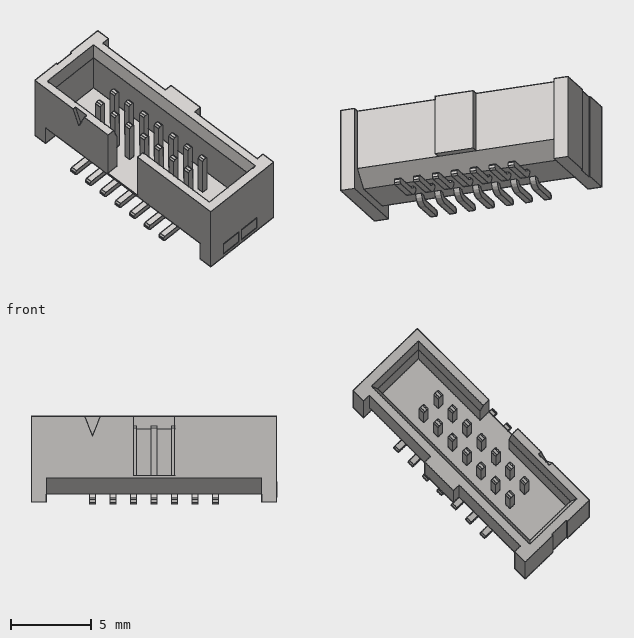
import cadquery as cq


columns = 7
pin_span = 7.62
pin_pitch = pin_span / (columns - 1)
pin_size = 0.4
pin_top = 4.71
pin_tip_chamfer = 0.1
tail_bottom = -0.12
tail_reach = 3.05
bend_inner_radius = 0.32

overall_length = 15.25
pad_thickness = 0.03
body_length = overall_length - pad_thickness
body_height = 5.34
block_half_depth = 2.55
leg_length = 0.93
rear_step = tail_reach - block_half_depth
underside_height = 0.5
bevel_size = 1.0
bevel_top = underside_height + bevel_size

floor_height = 1.65
floor_length = 13.45
floor_depth = 3.54
lead_in_width = 0.27
lead_in_bottom = 4.55

key_width = 2 * pin_pitch

mark_center = -pin_span / 2
mark_width = 0.98
mark_height = 1.22
mark_depth = 0.21

end_groove_width = 1.25
end_groove_depth = 0.09
pad_length = 1.37
pad_bottom = 0.32
pad_height = 0.95
pad_centers = (0.85, -0.75)


def box(x_range, y_range, z_range):
    """Box spanning the given (low, high) pairs."""
    spans = (x_range, y_range, z_range)
    size = [high - low for low, high in spans]
    corner = tuple(low for low, high in spans)
    return cq.Workplane("XY").box(*size, centered=False).translate(corner)


def make_block():
    """Main wall block between the ends, with both lower long edges bevelled at 45 degrees."""
    bottom_half_depth = block_half_depth - bevel_size
    return (
        cq.Workplane("YZ")
        .moveTo(-bottom_half_depth, underside_height)
        .lineTo(bottom_half_depth, underside_height)
        .lineTo(block_half_depth, bevel_top)
        .lineTo(block_half_depth, body_height)
        .lineTo(-block_half_depth, body_height)
        .lineTo(-block_half_depth, bevel_top)
        .close()
        .extrude(body_length / 2, both=True)
    )


def make_housing():
    """Block with full-height end legs and a rear boss behind the key slot."""
    housing = make_block()
    half_length = body_length / 2
    leg_y = (-block_half_depth, block_half_depth + rear_step)
    inner_x = half_length - leg_length
    for leg_x in ((-half_length, -inner_x), (inner_x, half_length)):
        housing = housing.union(box(leg_x, leg_y, (0, body_height)))
    boss = box(
        (-key_width / 2, key_width / 2),
        (0, block_half_depth + rear_step),
        (bevel_top, body_height),
    )
    return housing.union(boss)


def make_cavity():
    """Open-topped pocket whose rim flares outward as a lead-in."""
    pocket = (
        cq.Workplane("XY")
        .workplane(offset=floor_height)
        .rect(floor_length, floor_depth)
        .extrude(body_height - floor_height)
    )
    lead_in = (
        cq.Workplane("XY")
        .workplane(offset=lead_in_bottom)
        .rect(floor_length, floor_depth)
        .workplane(offset=body_height - lead_in_bottom)
        .rect(floor_length + 2 * lead_in_width, floor_depth + 2 * lead_in_width)
        .loft(ruled=True)
    )
    return pocket.union(lead_in)


def make_key_slot():
    """Slot through the front wall, down to the cavity floor."""
    return box(
        (-key_width / 2, key_width / 2),
        (-block_half_depth, 0),
        (floor_height, body_height),
    )


def make_mark():
    """V-shaped notch, open at the top of the front face."""
    return (
        cq.Workplane("XZ", origin=(mark_center, -block_half_depth, body_height))
        .moveTo(-mark_width / 2, 0)
        .lineTo(mark_width / 2, 0)
        .lineTo(0, -mark_height)
        .close()
        .extrude(-mark_depth)
    )


def make_end_groove():
    """Shallow full-height groove in the -X end."""
    return box(
        (-body_length / 2, -body_length / 2 + end_groove_depth),
        (-end_groove_width / 2, end_groove_width / 2),
        (0, body_height),
    )


def make_end_pad(center):
    """Thin raised pad on the +X end."""
    return box(
        (body_length / 2, body_length / 2 + pad_thickness),
        (center - pad_length / 2, center + pad_length / 2),
        (pad_bottom, pad_bottom + pad_height),
    )


def make_rear_pin(x):
    """Bent square pin of the rear row, chamfered at both tips, its tail running toward +Y."""
    inner_y = (pin_pitch - pin_size) / 2
    outer_y = inner_y + pin_size
    tail_top = tail_bottom + pin_size
    bend_outer_radius = bend_inner_radius + pin_size
    bend_z = tail_bottom + bend_outer_radius
    bend_y = inner_y + bend_outer_radius
    return (
        cq.Workplane("YZ", origin=(x, 0, 0))
        .moveTo(inner_y, pin_top)
        .lineTo(inner_y, bend_z)
        .radiusArc((bend_y, tail_bottom), -bend_outer_radius)
        .lineTo(tail_reach, tail_bottom)
        .lineTo(tail_reach, tail_top)
        .lineTo(bend_y, tail_top)
        .radiusArc((outer_y, bend_z), bend_inner_radius)
        .lineTo(outer_y, pin_top)
        .close()
        .extrude(pin_size / 2, both=True)
        .faces(">Z or >Y")
        .edges("|X")
        .chamfer(pin_tip_chamfer)
    )


housing = make_housing()
housing = housing.cut(make_cavity()).cut(make_key_slot())
housing = housing.cut(make_mark()).cut(make_end_groove())
for pad_center in pad_centers:
    housing = housing.union(make_end_pad(pad_center))

result = housing
for column in range(columns):
    pin_x = (column - (columns - 1) / 2) * pin_pitch
    rear_pin = make_rear_pin(pin_x)
    result = result.union(rear_pin).union(rear_pin.mirror("XZ"))